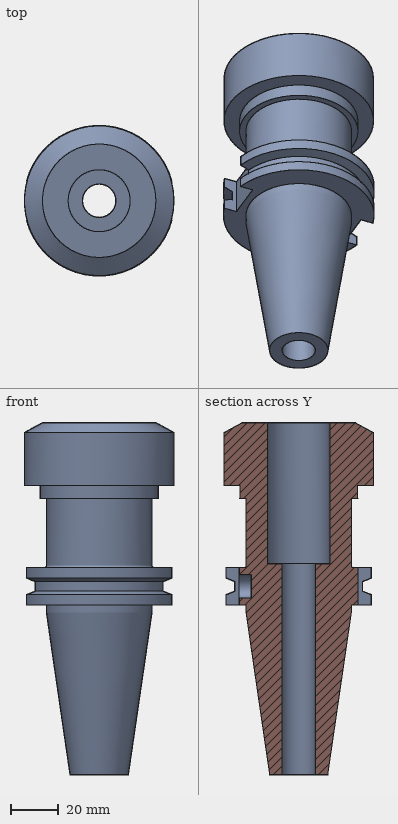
import cadquery as cq

total_height = 148.3

gauge_height = 68.2
gauge_radius = 22.2
taper_per_length = 7 / 24
tip_radius = gauge_radius - gauge_height * taper_per_length / 2

flange_radius = 31.7
flange_bottom = 71.5
flange_top = 87.3
groove_radius = 28.2
groove_floor_height = 4.0
groove_mouth_height = 7.0
groove_center = 79.3

body_radius = 22.2
body_fillet = 0.9
collar_radius = 24.9
collar_bottom = 116.2
nut_radius = 31.5
nut_bottom = 121.7
nut_chamfer_height = 4.2
nut_face_radius = 23.9

through_radius = 7.0
collet_bore_radius = 13.0
collet_bore_depth = 59.3

slot_width = 16.5
slot_floor_distance = 25.0

dimple_diameter = 9.6
dimple_depth = 5.0


def turned_body():
    """Revolve the outer profile about Z."""
    half_floor = groove_floor_height / 2
    half_mouth = groove_mouth_height / 2
    return (
        cq.Workplane("XZ")
        .lineTo(tip_radius, 0)
        .lineTo(gauge_radius, gauge_height)
        .lineTo(gauge_radius, flange_bottom)
        .lineTo(flange_radius, flange_bottom)
        .lineTo(flange_radius, groove_center - half_mouth)
        .lineTo(groove_radius, groove_center - half_floor)
        .lineTo(groove_radius, groove_center + half_floor)
        .lineTo(flange_radius, groove_center + half_mouth)
        .lineTo(flange_radius, flange_top)
        .lineTo(body_radius + body_fillet, flange_top)
        .radiusArc((body_radius, flange_top + body_fillet), body_fillet)
        .lineTo(body_radius, collar_bottom)
        .lineTo(collar_radius, collar_bottom)
        .lineTo(collar_radius, nut_bottom)
        .lineTo(nut_radius, nut_bottom)
        .lineTo(nut_radius, total_height - nut_chamfer_height)
        .lineTo(nut_face_radius, total_height)
        .lineTo(0, total_height)
        .close()
        .revolve(360, (0, 0, 0), (0, 1, 0))
    )


def drive_slot(side):
    """Cutter for the drive slot on the +X (side = 1) or -X (side = -1) side."""
    slot_depth = flange_radius - slot_floor_distance
    center_x = side * (slot_floor_distance + slot_depth / 2)
    return (
        cq.Workplane("XY", origin=(center_x, 0, flange_bottom))
        .rect(slot_depth, slot_width)
        .extrude(flange_top - flange_bottom)
    )


def slot_dimple():
    """Cutter for the blind hole, running inward along +X."""
    return (
        cq.Workplane("YZ", origin=(-slot_floor_distance, 0, groove_center))
        .circle(dimple_diameter / 2)
        .extrude(dimple_depth)
    )


result = turned_body()
for side in (-1, 1):
    result = result.cut(drive_slot(side))
result = result.cut(slot_dimple())

top_face = cq.Workplane("XY", origin=(0, 0, total_height))
result = result.cut(top_face.circle(through_radius).extrude(-total_height))
result = result.cut(top_face.circle(collet_bore_radius).extrude(-collet_bore_depth))